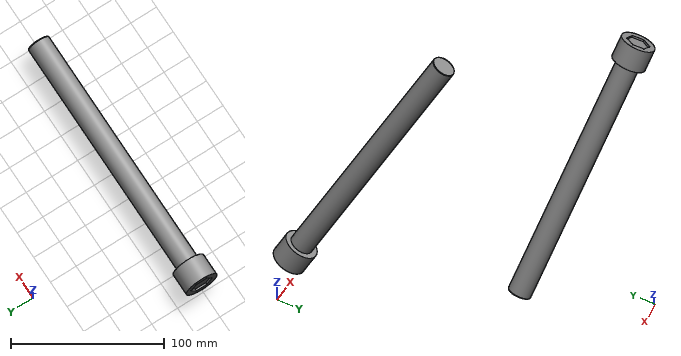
import cadquery as cq

total_length = 196.0
head_diameter = 24.0
shank_diameter = 16.0
head_length = shank_diameter
tip_chamfer_length = 0.5
tip_chamfer_drop = 0.2
hex_across_corners = 16.3
socket_depth = 1.4

head_face_x = -total_length / 2
tip_x = total_length / 2


def head():
    """Plain cylindrical head."""
    return cq.Workplane("YZ", origin=(head_face_x, 0, 0)).circle(head_diameter / 2).extrude(head_length)


def shank():
    """Round shank rooted inside the head and ending in a slight, narrow chamfer at the tip."""
    radius = shank_diameter / 2
    half_profile = (
        cq.Workplane("XY")
        .moveTo(head_face_x + head_length / 2, 0)
        .lineTo(head_face_x + head_length / 2, radius)
        .lineTo(tip_x - tip_chamfer_length, radius)
        .lineTo(tip_x, radius - tip_chamfer_drop)
        .lineTo(tip_x, 0)
        .close()
    )
    return half_profile.revolve(360, (0, 0, 0), (1, 0, 0))


def hex_socket():
    """Shallow hexagonal drive socket with two corners on the Y axis."""
    return cq.Workplane("YZ", origin=(head_face_x, 0, 0)).polygon(6, hex_across_corners).extrude(socket_depth)


result = head().union(shank()).cut(hex_socket())